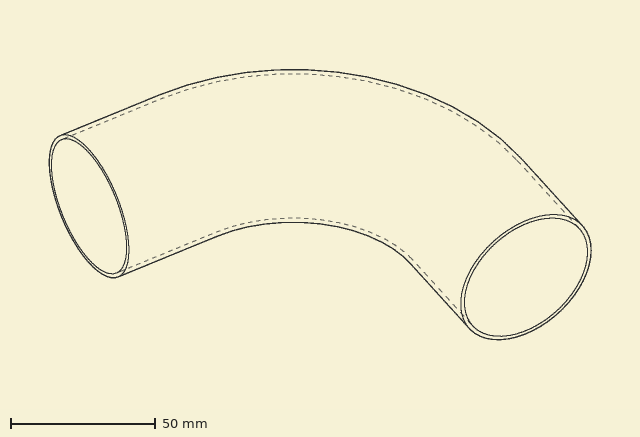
import cadquery as cq

overall_length = 136.5
outer_diameter = 53.0
inner_diameter = 50.0
straight_length = 40.0

bend_radius = overall_length - straight_length - outer_diameter / 2
bend_angle = 90.0


def pipe_ring(workplane):
    """Draw the pipe's cross-section, a ring centred on the workplane origin."""
    return workplane.circle(outer_diameter / 2).circle(inner_diameter / 2)


bend = pipe_ring(cq.Workplane("XZ", origin=(-bend_radius, 0, 0))).revolve(
    bend_angle, (bend_radius, 0, 0), (bend_radius, -1, 0)
)

front_end = pipe_ring(cq.Workplane("XZ", origin=(-bend_radius, 0, 0))).extrude(straight_length)

side_end = pipe_ring(cq.Workplane("YZ", origin=(0, bend_radius, 0))).extrude(straight_length)

result = bend.union(front_end).union(side_end)